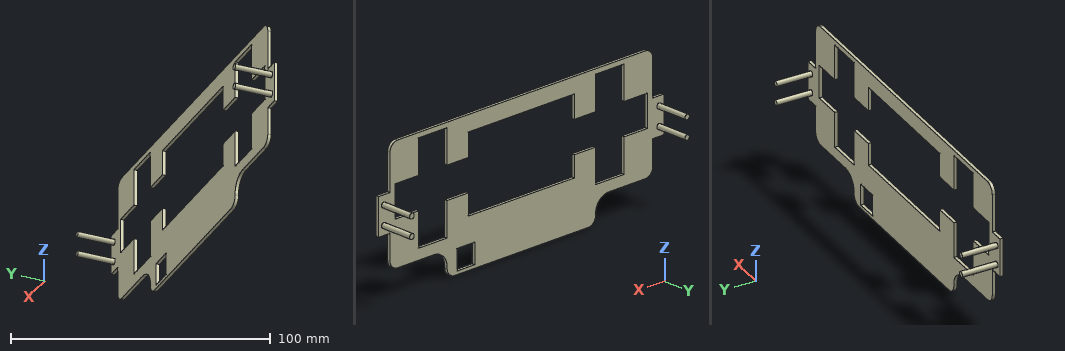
import cadquery as cq

thickness = 1.5
overall_width = 152.0
overall_height = 65.0
body_width = 139.9
body_height = 53.2
corner_radius = 4.0

tab_height = 17.0
tab_center_z = -29.2
pin_diameter = 2.5
pin_length = 15.7
pin_edge_distance = 2.7
pin_spacing = 8.5

extension_width = 79.1
flare_radius = 7.0

window_width = 56.3
window_height = 34.8
window_center_z = -24.8
cross_center_z = -25.2
slot_width = 134.1
slot_height = 14.6
upright_width = 15.0
upright_height = 45.8
upright_offset = 47.1
square_size = 9.3
square_center_x = 29.5
square_center_z = -58.7


def block(width, height, center_x, center_z):
    """Rectangular piece of plate thickness, growing toward +Y from Y = 0."""
    return cq.Workplane("XY").box(width, thickness, height).translate((center_x, thickness / 2, center_z))


def make_plate():
    body = block(body_width, body_height, 0, -body_height / 2).edges("|Y").fillet(corner_radius)
    extension = block(extension_width, overall_height - corner_radius, 0, -(overall_height + corner_radius) / 2)
    extension = extension.edges("|Y and <Z").fillet(corner_radius)
    tabs = block(overall_width, tab_height, 0, tab_center_z)
    plate = body.union(extension).union(tabs)
    for side in (-1, 1):
        corner_x = side * extension_width / 2
        flare = (
            cq.Workplane("XZ")
            .moveTo(corner_x, -body_height)
            .lineTo(corner_x + side * flare_radius, -body_height)
            .radiusArc((corner_x, -body_height - flare_radius), -side * flare_radius)
            .close()
            .extrude(-thickness)
        )
        plate = plate.union(flare)
    return plate


def cut_openings(plate):
    plate = plate.cut(block(window_width, window_height, 0, window_center_z))
    plate = plate.cut(block(slot_width, slot_height, 0, cross_center_z))
    for side in (-1, 1):
        plate = plate.cut(block(upright_width, upright_height, side * upright_offset, cross_center_z))
    return plate.cut(block(square_size, square_size, square_center_x, square_center_z))


def make_pins():
    pin_x = overall_width / 2 - pin_edge_distance
    centers = [
        (x, tab_center_z + z)
        for x in (-pin_x, pin_x)
        for z in (-pin_spacing / 2, pin_spacing / 2)
    ]
    return cq.Workplane("XZ").pushPoints(centers).circle(pin_diameter / 2).extrude(-(thickness + pin_length))


result = cut_openings(make_plate()).union(make_pins())